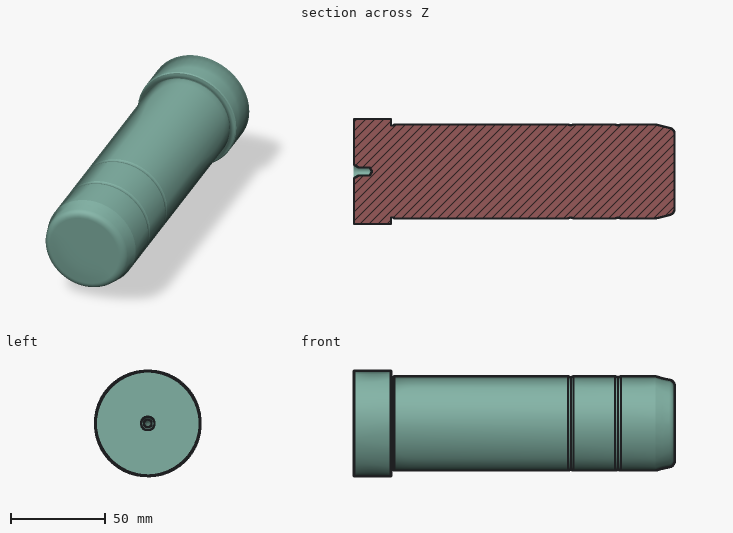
import cadquery as cq
import math

length = 170.0
head_diameter = 56.0
head_radius = head_diameter / 2
head_length = 20.0
head_chamfer = 0.5
body_radius = 25.0

undercut_width = 1.5
undercut_depth = 0.5

groove_centers = (115.0, 139.9)
groove_width = 3.0
groove_depth = 0.5

taper_start = 159.8
taper_angle = 14.0
nose_radius = 3.7

countersink_diameter = 7.1
countersink_angle = 60.0
hole_diameter = 4.0
hole_depth = 8.5
drill_tip_angle = 118.0


def make_body():
    """Revolve the head, undercut, body and taper, then round the nose."""
    undercut_radius = body_radius - undercut_depth
    undercut_end = head_length + undercut_width
    end_radius = body_radius - (length - taper_start) * math.tan(math.radians(taper_angle))
    profile = (
        cq.Workplane("XY")
        .moveTo(0, 0)
        .lineTo(0, head_radius - head_chamfer)
        .lineTo(head_chamfer, head_radius)
        .lineTo(head_length - head_chamfer, head_radius)
        .lineTo(head_length, head_radius - head_chamfer)
        .lineTo(head_length, undercut_radius)
        .lineTo(undercut_end - undercut_depth, undercut_radius)
        .lineTo(undercut_end, body_radius)
        .lineTo(taper_start, body_radius)
        .lineTo(length, end_radius)
        .lineTo(length, 0)
        .close()
    )
    body = profile.revolve(360, (0, 0, 0), (1, 0, 0))
    return body.faces(">X").edges().fillet(nose_radius)


def make_groove(center):
    """Ring that cuts a V groove, its outer edge lying on the body surface."""
    return (
        cq.Workplane("XY")
        .moveTo(center - groove_width / 2, body_radius)
        .lineTo(center, body_radius - groove_depth)
        .lineTo(center + groove_width / 2, body_radius)
        .close()
        .revolve(360, (0, 0, 0), (1, 0, 0))
    )


def make_center_hole():
    """Countersunk blind hole with a conical drill tip."""
    countersink_radius = countersink_diameter / 2
    hole_radius = hole_diameter / 2
    half_countersink = math.radians(countersink_angle / 2)
    countersink_depth = (countersink_radius - hole_radius) / math.tan(half_countersink)
    tip_length = hole_radius / math.tan(math.radians(drill_tip_angle / 2))
    return (
        cq.Workplane("XY")
        .moveTo(0, 0)
        .lineTo(0, countersink_radius)
        .lineTo(countersink_depth, hole_radius)
        .lineTo(hole_depth, hole_radius)
        .lineTo(hole_depth + tip_length, 0)
        .close()
        .revolve(360, (0, 0, 0), (1, 0, 0))
    )


result = make_body()
for groove_center in groove_centers:
    result = result.cut(make_groove(groove_center))
result = result.cut(make_center_hole())